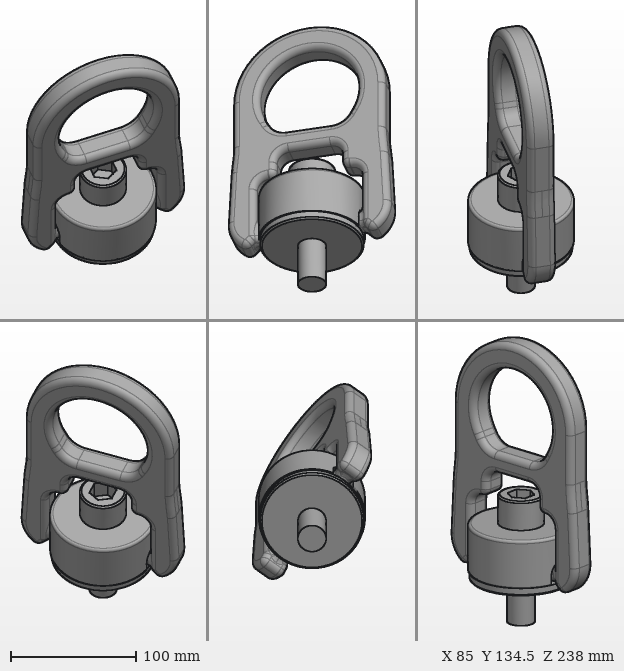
import cadquery as cq
import math


shank_diameter = 22.5
head_radius = 18.5
head_top = 108.2
head_chamfer = 1.5
socket_flats = 19.0
socket_depth = 14.3

disc_bottom = 36.2
disc_radius = 41.5
disc_chamfer = 1.5
body_bottom = 42.8
body_top = 83.7
body_radius = 85.0 / 2
body_top_round = 2.4
body_bottom_round = 1.5

plate_thickness = 22.5
plate_round = 5.5
crown_top = 238.0
crown_radius = 62.8
crown_z = crown_top - crown_radius

foot_reach = 134.5 / 2
foot_z = 61.9
foot_radius = 27.0
flank_angle = 2.9
flank_top = 109.5
waist_z = 133.2
tip_radius = 6.0
tip_bottom = 39.0
tip_end_angle = 225.0

eye_radius = 41.0
eye_bottom = 142.3
eye_corner_radius = 16.7
eye_corner_angle = 30.0

opening_top = 124.5
opening_half_width = 43.8
recess_half_width = 27.4
opening_corner_radius = 10.0
shoulder_radius = 6.0
shoulder_z = 101.5

pin_z = 51.5
pin_radius = 8.0
pin_blend = 5.7
pocket_radius = 10.0
pocket_floor = 33.3
clearance = 2.4


def polar(center, radius, degrees):
    """Point on a circle, with the angle counted from the first axis."""
    angle = math.radians(degrees)
    return (center[0] + radius * math.cos(angle), center[1] + radius * math.sin(angle))


def make_plate():
    """Shackle outline, drawn as one half in (y, z) and mirrored about the screw axis."""
    crown = (0, crown_z)
    foot = (foot_reach - foot_radius, foot_z)
    flank_end = polar(foot, foot_radius, flank_angle)
    flank_slope = math.tan(math.radians(flank_angle))
    flank_start = (flank_end[0] - flank_slope * (flank_top - flank_end[1]), flank_top)

    tip_z = tip_bottom + tip_radius
    center_gap = foot_radius - tip_radius
    tip = (foot[0] + math.sqrt(center_gap**2 - (foot_z - tip_z) ** 2), tip_z)
    tip_angle = math.degrees(math.atan2(tip_z - foot_z, tip[0] - foot[0]))
    tip_end = polar(tip, tip_radius, tip_end_angle)

    corner_flat = recess_half_width - opening_corner_radius
    top_corner = (corner_flat, opening_top - opening_corner_radius)
    shoulder = (recess_half_width + shoulder_radius, shoulder_z + shoulder_radius)
    side_corner = (opening_half_width - opening_corner_radius, shoulder_z - opening_corner_radius)

    outline = (
        cq.Workplane("YZ")
        .moveTo(0, crown_top)
        .threePointArc(polar(crown, crown_radius, 45), (crown_radius, crown_z))
        .lineTo(crown_radius, waist_z)
        .spline([flank_start], tangents=[(0, -1), (flank_slope, -1)], includeCurrent=True)
        .lineTo(*flank_end)
        .threePointArc(
            polar(foot, foot_radius, (flank_angle + tip_angle) / 2),
            polar(foot, foot_radius, tip_angle),
        )
        .threePointArc((tip[0], tip_bottom), tip_end)
        .lineTo(opening_half_width, tip_end[1] + tip_end[0] - opening_half_width)
        .lineTo(opening_half_width, side_corner[1])
        .threePointArc(
            polar(side_corner, opening_corner_radius, 45),
            (side_corner[0], shoulder_z),
        )
        .lineTo(shoulder[0], shoulder_z)
        .threePointArc(polar(shoulder, shoulder_radius, 225), (recess_half_width, shoulder[1]))
        .lineTo(recess_half_width, top_corner[1])
        .threePointArc(polar(top_corner, opening_corner_radius, 45), (corner_flat, opening_top))
        .lineTo(0, opening_top)
        .mirrorY()
    )
    return outline.extrude(plate_thickness / 2, both=True)


def make_eye():
    """Round eye with a flat floor; a short tangent line joins the circle to each floor corner."""
    crown = (0, crown_z)
    tangent_angle = -eye_corner_angle
    corner_z = eye_bottom + eye_corner_radius
    normal_y = math.cos(math.radians(tangent_angle))
    normal_z = math.sin(math.radians(tangent_angle))
    corner_y = (eye_radius - eye_corner_radius - (corner_z - crown_z) * normal_z) / normal_y
    corner = (corner_y, corner_z)
    return (
        cq.Workplane("YZ")
        .moveTo(0, crown_z + eye_radius)
        .threePointArc(polar(crown, eye_radius, 30), polar(crown, eye_radius, tangent_angle))
        .lineTo(*polar(corner, eye_corner_radius, tangent_angle))
        .threePointArc(
            polar(corner, eye_corner_radius, (tangent_angle - 90) / 2),
            (corner_y, eye_bottom),
        )
        .lineTo(0, eye_bottom)
        .mirrorY()
        .extrude(plate_thickness, both=True)
    )


def cross_cylinder(radius, start, end, side):
    """Cylinder along Y at pivot height, on the side given by the sign."""
    return cq.Workplane(
        cq.Solid.makeCylinder(
            radius, end - start, cq.Vector(0, side * start, pin_z), cq.Vector(0, side, 0)
        )
    )


def make_shackle():
    """Rounded plate with an inward pin at the foot of each leg."""
    shackle = make_plate().cut(make_eye())
    shackle = shackle.faces("<X or >X").edges().fillet(plate_round)

    root_depth = plate_round / 2
    pin_end = opening_half_width + plate_round
    for side in (-1, 1):
        shackle = shackle.union(cross_cylinder(pin_radius, pocket_floor, pin_end, side))
        pin_root = cq.selectors.BoxSelector(
            (-pin_radius, side * (opening_half_width - root_depth), pin_z - pin_radius),
            (pin_radius, side * (opening_half_width + root_depth), pin_z + pin_radius),
        )
        shackle = shackle.edges(pin_root).fillet(pin_blend)
    return shackle


def make_body():
    body = cq.Workplane("XY").workplane(offset=body_bottom).circle(body_radius)
    body = body.extrude(body_top - body_bottom).faces(">Z").edges().fillet(body_top_round)

    pocket_end = body_radius + clearance
    for side in (-1, 1):
        arch = cross_cylinder(pocket_radius, pocket_floor, pocket_end, side)
        slot = (
            cq.Workplane("XY")
            .workplane(offset=body_bottom)
            .center(0, side * (pocket_floor + pocket_end) / 2)
            .rect(2 * pocket_radius, pocket_end - pocket_floor)
            .extrude(pin_z - body_bottom)
        )
        body = body.cut(arch).cut(slot)

    return body.faces("<Z").edges("<X").fillet(body_bottom_round)


def make_disc():
    disc = cq.Workplane("XY").workplane(offset=disc_bottom).circle(disc_radius)
    return disc.extrude(body_bottom - disc_bottom).faces("<Z").chamfer(disc_chamfer)


def make_shank():
    return cq.Workplane("XY").circle(shank_diameter / 2).extrude(body_bottom)


def make_head():
    """Screw head with a hexagon socket."""
    head = cq.Workplane("XY").workplane(offset=body_top).circle(head_radius)
    head = head.extrude(head_top - body_top).faces(">Z").edges().chamfer(head_chamfer)
    socket_corners = socket_flats / math.cos(math.pi / 6)
    return head.faces(">Z").workplane().polygon(6, socket_corners).cutBlind(-socket_depth)


result = make_body().union(make_disc()).union(make_shank()).union(make_head()).union(make_shackle())